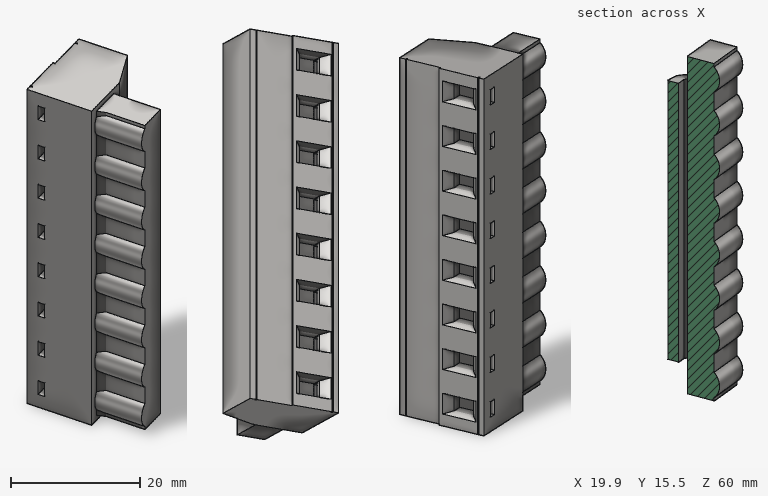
import cadquery as cq
import math

length = 60.0
poles = 8
pitch = length / poles
pole_centers = [pitch * (i + 0.5) for i in range(poles)]

housing_width = 11.5
housing_depth = 15.5
entry_step_y = 8.1
entry_step = 0.35
slope_start_y = 8.65
slope_end_x = 9.0

groove_depth = 0.35
lower_groove_y = 0.95
lower_groove_width = 0.2
upper_groove_y = 14.3
upper_groove_width = 0.1

plug_end_x = 19.85
plug_front_y = 2.0
plug_back_y = 6.85
plug_end_margin = 0.95
ramp_length = 1.5
ramp_rise = 0.45
rib_width = 4.4
rib_height = 1.0

latch_root_x = 9.6
latch_bottom_y = 8.4
latch_root_top_y = 10.9
latch_knee_x = 15.2
latch_knee_y = 10.1
latch_tip_x = 15.4
latch_tip_y = 8.75
latch_tip_radius = 1.6 / 2
latch_end_margin = 6.0

entry_center_y = 4.45
funnel_depth = 1.3
funnel_size_y = 6.1
funnel_size_z = 3.5
pocket_size_y = 3.5
pocket_size_z = 2.75
pocket_bottom_y = entry_center_y - pocket_size_y / 2
pocket_top_y = entry_center_y + pocket_size_y / 2
pocket_end_x = 2.95

slot_start_x = 2.0
slot_end_x = 3.1
slot_height = 2.6


def extrude_along_z(outline, bottom, top):
    return outline.extrude(top - bottom).translate((0, 0, bottom))


def box(x_range, y_range, z_range):
    sizes = [high - low for low, high in (x_range, y_range, z_range)]
    corner = (x_range[0], y_range[0], z_range[0])
    return cq.Workplane("XY").box(*sizes, centered=False).translate(corner)


def make_housing():
    outline = cq.Workplane("XY").polyline([
        (0, 0),
        (housing_width, 0),
        (housing_width, slope_start_y),
        (slope_end_x, housing_depth),
        (entry_step, housing_depth),
        (entry_step, entry_step_y),
        (0, entry_step_y),
    ]).close()
    return extrude_along_z(outline, 0, length)


def make_plug_block():
    root_x = housing_width
    outline = cq.Workplane("XY").polyline([
        (root_x, plug_front_y - ramp_rise),
        (root_x + ramp_length, plug_front_y),
        (plug_end_x, plug_front_y),
        (plug_end_x, plug_back_y),
        (root_x, plug_back_y),
    ]).close()
    return extrude_along_z(outline, plug_end_margin, length - plug_end_margin)


def make_rib(center_z):
    half = rib_width / 2
    return (
        cq.Workplane("YZ", origin=(housing_width, plug_front_y, center_z))
        .moveTo(0, -half)
        .threePointArc((-rib_height, 0), (0, half))
        .close()
        .extrude(plug_end_x - housing_width)
    )


def make_latch():
    reach = latch_tip_radius * math.cos(math.radians(45))
    tip_x, tip_y = latch_tip_x, latch_tip_y
    outer = (tip_x + reach, tip_y + reach)
    end = (tip_x + reach, tip_y - reach)
    inner = (tip_x - reach, tip_y - reach)
    inner_bend_x = inner[0] + inner[1] - latch_bottom_y
    outline = (
        cq.Workplane("XY")
        .moveTo(latch_root_x, latch_bottom_y)
        .lineTo(latch_root_x, latch_root_top_y)
        .lineTo(latch_knee_x, latch_knee_y)
        .lineTo(*outer)
        .threePointArc(end, inner)
        .lineTo(inner_bend_x, latch_bottom_y)
        .close()
    )
    return extrude_along_z(outline, latch_end_margin, length - latch_end_margin)


def make_wire_entry(center_z):
    funnel = (
        cq.Workplane("YZ", origin=(0, entry_center_y, center_z))
        .rect(funnel_size_y, funnel_size_z)
        .workplane(offset=funnel_depth)
        .rect(pocket_size_y, pocket_size_z)
        .loft(ruled=True)
    )
    pocket = box(
        (funnel_depth, pocket_end_x),
        (pocket_bottom_y, pocket_top_y),
        (center_z - pocket_size_z / 2, center_z + pocket_size_z / 2),
    )
    return funnel.union(pocket)


def make_test_slot(center_z):
    return box(
        (slot_start_x, slot_end_x),
        (0, pocket_bottom_y),
        (center_z - slot_height / 2, center_z + slot_height / 2),
    )


def make_groove(face_x, start_y, width):
    return box((face_x, face_x + groove_depth), (start_y, start_y + width), (0, length))


result = make_housing().union(make_plug_block()).union(make_latch())
for z in pole_centers:
    result = result.union(make_rib(z))
    result = result.cut(make_wire_entry(z)).cut(make_test_slot(z))

result = result.cut(make_groove(0, lower_groove_y, lower_groove_width))
result = result.cut(make_groove(entry_step, upper_groove_y, upper_groove_width))